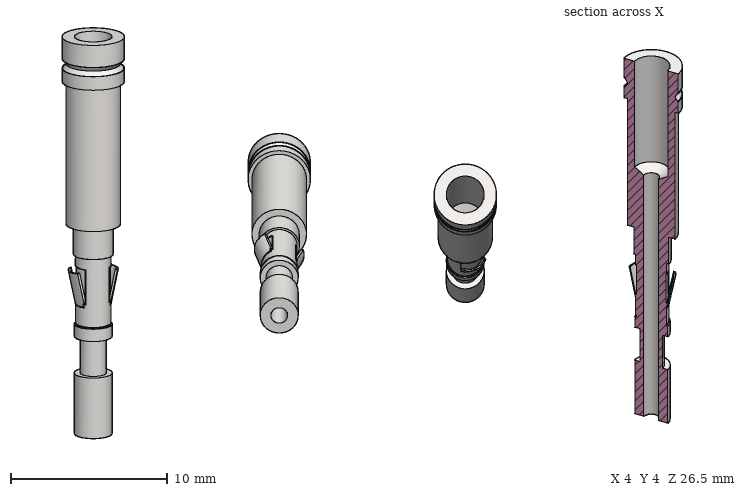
import cadquery as cq
import math

TOTAL_LENGTH = 26.5
BARREL_TOP = 4.05
RING_BOTTOM = 6.5
RING_TOP = 7.31
SLEEVE_BOTTOM = 7.4
SLEEVE_TOP = 11.98
STEP_TOP = 14.0
BODY_TOP = 23.5
GROOVE_BOTTOM = 24.4
GROOVE_TOP = 25.02

BARREL_DIAMETER = 2.45
NECK_DIAMETER = 1.7
SHANK_DIAMETER = 2.2
SLEEVE_DIAMETER = 2.3
STEP_DIAMETER = 2.57
BODY_DIAMETER = 3.5
COLLAR_DIAMETER = 4.0
GROOVE_EDGE_DIAMETER = 3.92
GROOVE_ROOT_DIAMETER = BODY_DIAMETER

SOCKET_DIAMETER = 2.4
SOCKET_DEPTH = 7.95
SOCKET_CONE_ANGLE = 118.0
THROUGH_HOLE_DIAMETER = 1.05

WINDOW_WIDTH = 1.55
WINDOW_TOP = 11.2
WINDOW_BOTTOM = 8.88
TINE_ROOT = 8.67
TINE_ROOT_WIDTH = 1.38
TINE_WIDTH = 1.5
TINE_LENGTH = 2.33
TINE_THICKNESS = 0.1
TINE_ANGLE = 12.0


def cylinder(diameter, bottom, top):
    return cq.Workplane("XY").workplane(offset=bottom).circle(diameter / 2).extrude(top - bottom)


def make_shaft():
    """Turned body: crimp barrel, neck, ring, shank, body and collar."""
    sections = [
        (BARREL_DIAMETER, 0, BARREL_TOP),
        (NECK_DIAMETER, BARREL_TOP, RING_BOTTOM),
        (BARREL_DIAMETER, RING_BOTTOM, RING_TOP),
        (SHANK_DIAMETER, RING_TOP, SLEEVE_TOP),
        (STEP_DIAMETER, SLEEVE_TOP, STEP_TOP),
        (BODY_DIAMETER, STEP_TOP, BODY_TOP),
        (COLLAR_DIAMETER, BODY_TOP, TOTAL_LENGTH),
    ]
    shaft = cylinder(*sections[0])
    for section in sections[1:]:
        shaft = shaft.union(cylinder(*section))
    return shaft


def make_groove():
    """V groove around the collar, with a narrow flat shoulder on each side."""
    outside = COLLAR_DIAMETER
    edge = GROOVE_EDGE_DIAMETER / 2
    root = GROOVE_ROOT_DIAMETER / 2
    middle = (GROOVE_BOTTOM + GROOVE_TOP) / 2
    profile = [
        (outside, GROOVE_BOTTOM),
        (edge, GROOVE_BOTTOM),
        (root, middle),
        (edge, GROOVE_TOP),
        (outside, GROOVE_TOP),
    ]
    return cq.Workplane("XZ").polyline(profile).close().revolve(360, (0, 0), (0, 1))


def make_bore():
    """Socket with a conical floor, opening into a small through hole."""
    socket = SOCKET_DIAMETER / 2
    hole = THROUGH_HOLE_DIAMETER / 2
    floor = TOTAL_LENGTH - SOCKET_DEPTH
    cone_height = (socket - hole) / math.tan(math.radians(SOCKET_CONE_ANGLE / 2))
    profile = [
        (0, 0),
        (hole, 0),
        (hole, floor - cone_height),
        (socket, floor),
        (socket, TOTAL_LENGTH),
        (0, TOTAL_LENGTH),
    ]
    return cq.Workplane("XZ").polyline(profile).close().revolve(360, (0, 0), (0, 1))


def front_block(width, bottom, top):
    """Box on the -Y side of the axis, used to trim curved shells."""
    depth = SLEEVE_DIAMETER
    return (
        cq.Workplane("XY")
        .box(width, depth, top - bottom, centered=(True, False, False))
        .translate((0, -depth, bottom))
    )


def make_sleeve():
    """Thin sleeve around the shank, with one window per tine."""
    sleeve = cylinder(SLEEVE_DIAMETER, SLEEVE_BOTTOM, SLEEVE_TOP)
    sleeve = sleeve.cut(cylinder(SHANK_DIAMETER, SLEEVE_BOTTOM, SLEEVE_TOP))
    window = front_block(WINDOW_WIDTH, WINDOW_BOTTOM, WINDOW_TOP)
    window = window.union(front_block(TINE_ROOT_WIDTH, TINE_ROOT, WINDOW_BOTTOM))
    return sleeve.cut(window).cut(window.mirror("XZ"))


def make_tine():
    """Curved strip on the -Y side, narrowed at its root and tilted outward."""
    tip = TINE_ROOT + TINE_LENGTH
    outline = front_block(TINE_ROOT_WIDTH, TINE_ROOT, WINDOW_BOTTOM)
    outline = outline.union(front_block(TINE_WIDTH, WINDOW_BOTTOM, tip))
    shell = cylinder(SLEEVE_DIAMETER, TINE_ROOT, tip)
    shell = shell.cut(cylinder(SLEEVE_DIAMETER - 2 * TINE_THICKNESS, TINE_ROOT, tip))
    hinge_y = -SLEEVE_DIAMETER / 2
    return shell.intersect(outline).rotate((0, hinge_y, TINE_ROOT), (1, hinge_y, TINE_ROOT), TINE_ANGLE)


tine = make_tine()
result = make_shaft().cut(make_groove()).union(make_sleeve())
result = result.union(tine).union(tine.mirror("XZ"))
result = result.cut(make_bore())